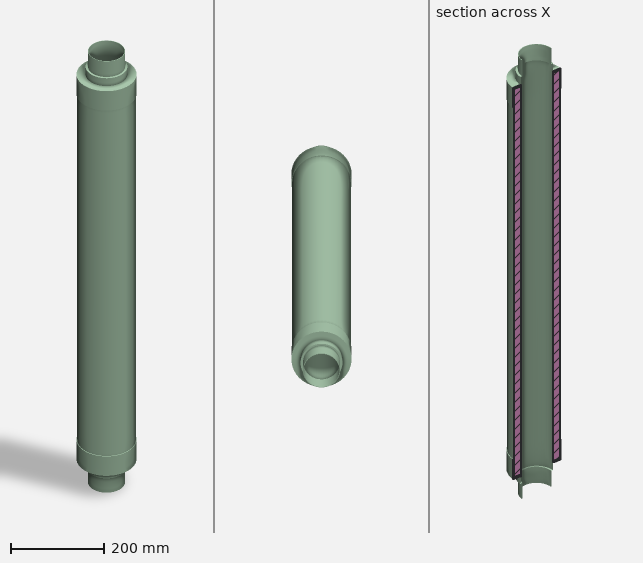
import cadquery as cq

total_length = 1120.0
cap_diameter = 129.0
tube_diameter = 125.0
collar_diameter = 90.0
spigot_diameter = 80.0

spigot_length = 40.0
collar_length = 20.0
cap_length = 50.0

spigot_bore = 77.0
main_bore = 85.0
cap_face_thickness = 2.0
collar_face_thickness = 1.0

end_height = total_length / 2
collar_height = end_height - spigot_length
cap_height = collar_height - collar_length
cap_rim_height = cap_height - cap_length
tube_end_height = cap_height - cap_face_thickness
collar_face_height = collar_height - collar_face_thickness


def cylinder(diameter, bottom, top):
    """Solid cylinder on the Z axis between two heights."""
    return cq.Workplane("XY").workplane(offset=bottom).circle(diameter / 2).extrude(top - bottom)


def make_tube():
    """Thick-walled tube that reaches into the sockets of both end fittings."""
    tube = cylinder(tube_diameter, -tube_end_height, tube_end_height)
    return tube.cut(cylinder(main_bore, -tube_end_height, tube_end_height))


def make_end_fitting():
    """Upper end fitting: a cap with a socket for the tube, a collar and a spigot."""
    fitting = cylinder(cap_diameter, cap_rim_height, cap_height)
    fitting = fitting.union(cylinder(collar_diameter, cap_height, collar_height))
    fitting = fitting.union(cylinder(spigot_diameter, collar_height, end_height))

    tube_socket = cylinder(tube_diameter, cap_rim_height, tube_end_height)
    collar_hole = cylinder(main_bore, tube_end_height, collar_face_height)
    spigot_hole = cylinder(spigot_bore, collar_face_height, end_height)
    return fitting.cut(tube_socket).cut(collar_hole).cut(spigot_hole)


tube = make_tube()

end_fittings = []
for turn in (0, 180):
    end_fittings.append(make_end_fitting().rotate((0, 0, 0), (1, 0, 0), turn))

result = cq.Compound.makeCompound([tube.val(), *[fitting.val() for fitting in end_fittings]])